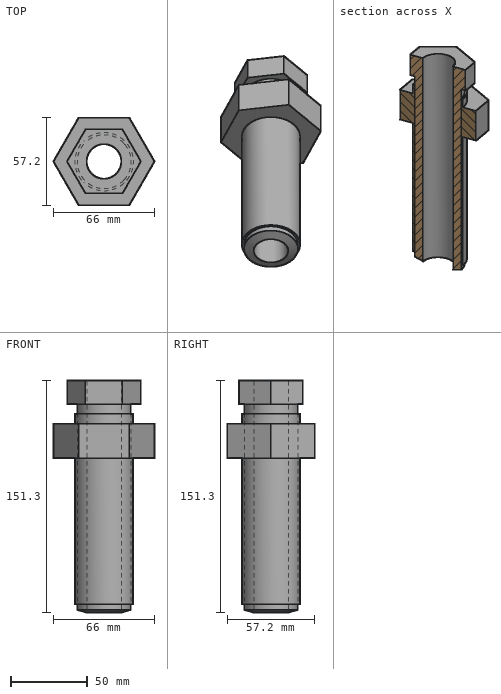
import cadquery as cq

total_length = 151.3
bore_diameter = 22.4

head_corner_width = 48.1
head_height = 15.6
tube_diameter = 35.1
tip_height = 1.8

sleeve_diameter = 38.0
sleeve_bottom = 5.5
sleeve_top = 129.4
collar_corner_width = 66.0
collar_bottom = 100.6
collar_height = 22.4


def hex_prism(corner_width, bottom, height):
    """Upright hexagonal prism with two corners on the X axis."""
    return cq.Workplane("XY").workplane(offset=bottom).polygon(6, corner_width).extrude(height)


def cylinder(diameter, bottom, height):
    """Upright cylinder centred on the Z axis."""
    return cq.Workplane("XY").workplane(offset=bottom).circle(diameter / 2).extrude(height)


def make_hollow_bolt():
    """Tube whose tip tapers down to the edge of the bore, with a hexagonal head on top."""
    head_bottom = total_length - head_height
    tube = (
        cq.Workplane("XZ")
        .moveTo(bore_diameter / 2, 0)
        .lineTo(tube_diameter / 2, tip_height)
        .lineTo(tube_diameter / 2, head_bottom)
        .lineTo(bore_diameter / 2, head_bottom)
        .close()
        .revolve(360, (0, 0, 0), (0, 1, 0))
    )
    head = hex_prism(head_corner_width, head_bottom, head_height)
    head = head.cut(cylinder(bore_diameter, head_bottom, head_height))
    return tube.union(head)


def make_sleeve():
    """Cylinder with a hexagonal collar, bored through to fit around the tube."""
    sleeve_length = sleeve_top - sleeve_bottom
    barrel = cylinder(sleeve_diameter, sleeve_bottom, sleeve_length)
    collar = hex_prism(collar_corner_width, collar_bottom, collar_height)
    tube_passage = cylinder(tube_diameter, sleeve_bottom, sleeve_length)
    return barrel.union(collar).cut(tube_passage)


hollow_bolt = make_hollow_bolt()
sleeve = make_sleeve()

result = cq.Compound.makeCompound([hollow_bolt.val(), sleeve.val()])